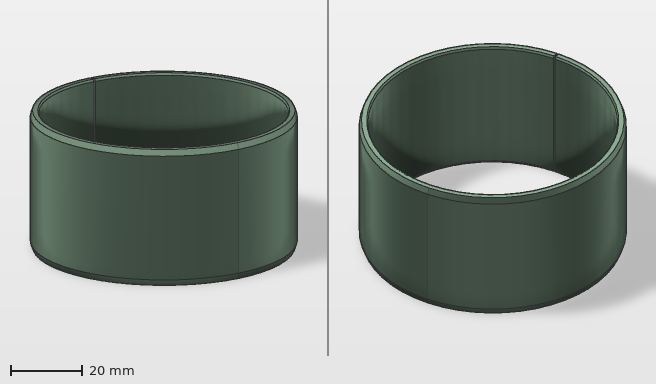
import cadquery as cq
import math

outer_diameter = 75.0
length = 40.0
wall = 2.5
outer_chamfer_height = 1.8
outer_chamfer_angle = 20.0
inner_chamfer_height = 0.7
inner_chamfer_depth = 0.34
slit_width = 0.5

outer_radius = outer_diameter / 2
inner_radius = outer_radius - wall
half_length = length / 2
outer_chamfer_depth = outer_chamfer_height * math.tan(math.radians(outer_chamfer_angle))


def make_tube():
    """Revolve the chamfered wall section about the Z axis."""
    outer_edge = half_length - outer_chamfer_height
    inner_edge = half_length - inner_chamfer_height
    outer_rim = outer_radius - outer_chamfer_depth
    inner_rim = inner_radius + inner_chamfer_depth
    section = [
        (inner_radius, -inner_edge),
        (inner_rim, -half_length),
        (outer_rim, -half_length),
        (outer_radius, -outer_edge),
        (outer_radius, outer_edge),
        (outer_rim, half_length),
        (inner_rim, half_length),
        (inner_radius, inner_edge),
    ]
    return cq.Workplane("XZ").polyline(section).close().revolve(360, (0, 0), (0, 1))


def make_slit():
    """Block that cuts the -X wall over the full length, with one face on the XZ plane."""
    block = cq.Workplane("XY").box(outer_radius, slit_width, length, centered=(False, False, True))
    return block.translate((-outer_radius, 0, 0))


result = make_tube().cut(make_slit())